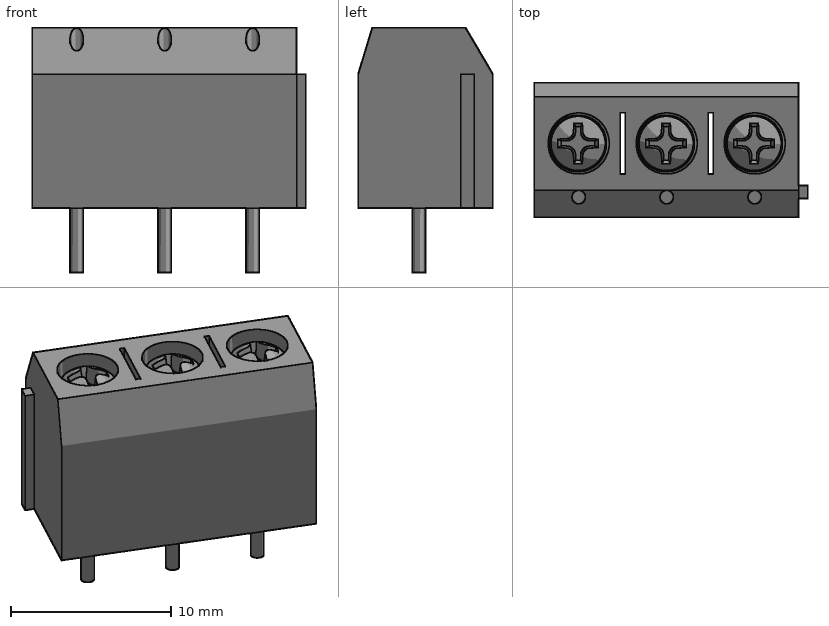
import cadquery as cq
import math


pole_count = 3
pole_pitch = 5.49
pole_y = 4.62
first_pole_x = 2.785
pole_xs = [first_pole_x + pole_pitch * index for index in range(pole_count)]

housing_length = 16.5
housing_depth = 8.41
housing_height = 11.27
shoulder_height = 8.37
front_setback = 1.71
back_setback = 0.88

rib_projection = 0.59
rib_width = 0.84
rib_front_y = 1.17
groove_depth = rib_width

slot_width = 0.3
slot_length = 3.81

probe_hole_diameter = 0.84
probe_hole_y = 1.27

pin_diameter = 0.84
pin_length = 4.02

well_diameter = 3.81
well_depth = 1.6
screw_offset_x = -0.035
screw_diameter = 3.54
screw_rim_height = 0.45
screw_chamfer_height = 0.3
dome_diameter = 3.38
dome_height = 0.7

recess_depth = 1.2
recess_top_span = 2.72
recess_top_width = 0.62
recess_floor_span = 2.1
recess_floor_width = 0.32
recess_corner_center = 0.73

well_floor_z = housing_height - well_depth


def make_housing():
    """Extruded block with sloped shoulders, its rib, and all of its openings."""
    block = (
        cq.Workplane("YZ")
        .polyline([
            (0, 0),
            (housing_depth, 0),
            (housing_depth, shoulder_height),
            (housing_depth - back_setback, housing_height),
            (front_setback, housing_height),
            (0, shoulder_height),
        ])
        .close()
        .extrude(housing_length)
    )

    rib = cq.Workplane("XY", origin=(housing_length, rib_front_y, 0)).box(
        rib_projection, rib_width, shoulder_height, centered=False
    )
    groove = cq.Workplane("XY", origin=(0, rib_front_y, 0)).box(
        groove_depth, rib_width, shoulder_height, centered=False
    )
    block = block.union(rib).cut(groove)

    for pole_x in pole_xs:
        well = (
            cq.Workplane("XY", origin=(pole_x, pole_y, well_floor_z))
            .circle(well_diameter / 2)
            .extrude(well_depth)
        )
        probe_hole = (
            cq.Workplane("XY", origin=(pole_x, probe_hole_y, shoulder_height))
            .circle(probe_hole_diameter / 2)
            .extrude(housing_height - shoulder_height)
        )
        block = block.cut(well).cut(probe_hole)

    for pole_x in pole_xs[:-1]:
        slot = (
            cq.Workplane("XY", origin=(pole_x + pole_pitch / 2, pole_y, 0))
            .rect(slot_width, slot_length)
            .extrude(housing_height)
        )
        block = block.cut(slot)
    return block


def cross_outline(plane, span, width):
    """Four-armed cross whose inner corners are rounded by arcs tangent to the arms."""
    tip = span / 2
    side = width / 2
    bend = recess_corner_center
    middle = bend - (bend - side) * math.sqrt(0.5)

    def turned(x, y, quarter):
        """The point (x, y) turned by a number of quarter turns about the cross centre."""
        for _ in range(quarter):
            x, y = -y, x
        return (x, y)

    outline = plane.moveTo(tip, -side)
    for quarter in range(4):
        outline = (
            outline.lineTo(*turned(tip, side, quarter))
            .lineTo(*turned(bend, side, quarter))
            .threePointArc(turned(middle, middle, quarter), turned(side, bend, quarter))
            .lineTo(*turned(side, tip, quarter))
        )
    return outline.close()


def make_screw(pole_x):
    """Domed screw head with a steep chamfered rim, standing on the well floor, with a cross recess."""
    rim_radius = screw_diameter / 2
    dome_radius = dome_diameter / 2
    dome_base_height = screw_rim_height + screw_chamfer_height
    head_height = dome_base_height + dome_height
    sphere_radius = (dome_radius**2 + dome_height**2) / (2 * dome_height)
    half_radius = dome_radius / 2
    half_height = head_height - sphere_radius + math.sqrt(sphere_radius**2 - half_radius**2)
    head = (
        cq.Workplane("XZ")
        .lineTo(rim_radius, 0)
        .lineTo(rim_radius, screw_rim_height)
        .lineTo(dome_radius, dome_base_height)
        .threePointArc((half_radius, half_height), (0, head_height))
        .close()
        .revolve(360, (0, 0), (0, 1))
    )

    floor_plane = cq.Workplane("XY", origin=(0, 0, head_height - recess_depth))
    recess = cross_outline(floor_plane, recess_floor_span, recess_floor_width)
    recess = cross_outline(
        recess.workplane(offset=recess_depth), recess_top_span, recess_top_width
    ).loft(ruled=True)
    return head.cut(recess).translate((pole_x + screw_offset_x, pole_y, well_floor_z))


def make_pin(pole_x):
    """Round solder pin hanging from the underside of the housing."""
    return (
        cq.Workplane("XY", origin=(pole_x, pole_y, -pin_length))
        .circle(pin_diameter / 2)
        .extrude(pin_length)
    )


housing = make_housing()
screws = [make_screw(pole_x) for pole_x in pole_xs]
pins = [make_pin(pole_x) for pole_x in pole_xs]

result = cq.Compound.makeCompound([
    housing.val().Solids()[0],
    *[screw.val().Solids()[0] for screw in screws],
    *[pin.val() for pin in pins],
])